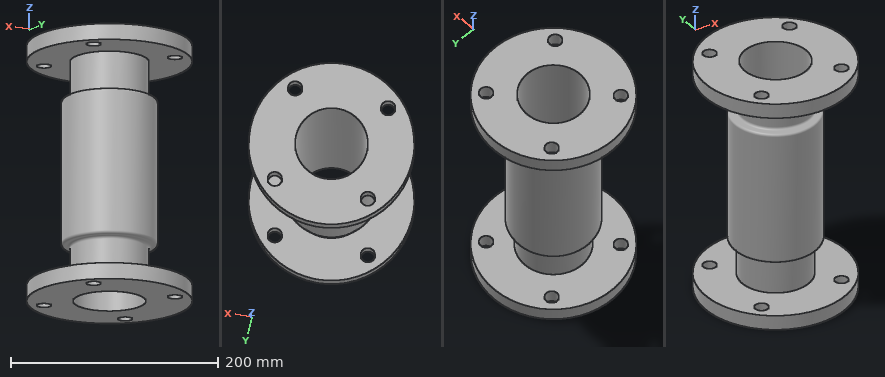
import cadquery as cq

total_length = 256.0
pipe_outer_diameter = 76.1
pipe_wall = 2.9
pipe_bore_diameter = pipe_outer_diameter - 2 * pipe_wall

flange_diameter = 160.0
flange_thickness = 16.0
bolt_circle_diameter = 130.0
bolt_hole_diameter = 14.0
bolt_hole_count = 4
first_bolt_angle = 45.0

body_diameter = 93.5
body_length = 146.0
shoulder_radius = 3.0

end_z = total_length / 2
flange_inner_z = end_z - flange_thickness
shoulder_z = body_length / 2


def make_turned_shape():
    """Flanges, pipe necks, middle body and bore, revolved about Z from one half section."""
    bore_radius = pipe_bore_diameter / 2
    neck_radius = pipe_outer_diameter / 2
    body_radius = body_diameter / 2
    flange_radius = flange_diameter / 2
    upper_steps = [
        (body_radius, shoulder_z),
        (neck_radius, shoulder_z),
        (neck_radius, flange_inner_z),
        (flange_radius, flange_inner_z),
        (flange_radius, end_z),
        (bore_radius, end_z),
    ]
    lower_steps = [(radius, -z) for radius, z in reversed(upper_steps)]
    return cq.Workplane("XZ").polyline(lower_steps + upper_steps).close().revolve(360, (0, 0), (0, 1))


def round_shoulders(shape):
    """Fillet the outer edge and the root of both body shoulders."""
    reach = body_diameter
    between_flanges = cq.selectors.BoxSelector(
        (-reach, -reach, -(shoulder_z + shoulder_radius)),
        (reach, reach, shoulder_z + shoulder_radius),
    )
    return shape.edges("%CIRCLE").edges(between_flanges).fillet(shoulder_radius)


def make_bolt_holes():
    """Axial cutters for the bolt holes, running through both flanges."""
    return (
        cq.Workplane("XY")
        .polarArray(bolt_circle_diameter / 2, first_bolt_angle, 360, bolt_hole_count)
        .circle(bolt_hole_diameter / 2)
        .extrude(end_z, both=True)
    )


result = round_shoulders(make_turned_shape()).cut(make_bolt_holes())